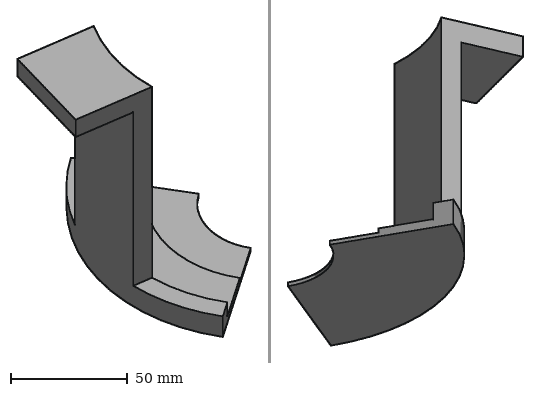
import cadquery as cq
import math

inner_radius = 29.0
step_radius = 51.0
rim_inner_radius = 75.9
outer_radius = 85.0
half_angle = math.radians(45)

floor_thickness = 2.0
step_thickness = 4.0
rim_height = 12.0

post_width = 46.1
total_height = 122.0
arm_thickness = 10.0
arm_reach = 111.1


def sector(start_radius, end_radius, height):
    """Ring sector standing on Z = 0, symmetric about the -Y direction."""
    def edge_point(radius, side):
        return (side * radius * math.sin(half_angle), -radius * math.cos(half_angle))

    return (
        cq.Workplane("XY")
        .moveTo(*edge_point(start_radius, -1))
        .lineTo(*edge_point(end_radius, -1))
        .threePointArc((0, -end_radius), edge_point(end_radius, 1))
        .lineTo(*edge_point(start_radius, 1))
        .threePointArc((0, -start_radius), edge_point(start_radius, -1))
        .close()
        .extrude(height)
    )


def front_block(bottom, height):
    """Block of post width running from the sector axis to the arm's end."""
    return (
        cq.Workplane("XY", origin=(0, -arm_reach / 2, bottom))
        .rect(post_width, arm_reach)
        .extrude(height)
    )


base = (
    sector(inner_radius, outer_radius, floor_thickness)
    .union(sector(step_radius, outer_radius, step_thickness))
    .union(sector(rim_inner_radius, outer_radius, rim_height))
)

post = sector(rim_inner_radius, outer_radius, total_height).intersect(front_block(0, total_height))

rim_bore = cq.Workplane("XY").circle(rim_inner_radius).extrude(total_height)
arm = front_block(total_height - arm_thickness, arm_thickness).cut(rim_bore)

result = base.union(post).union(arm)